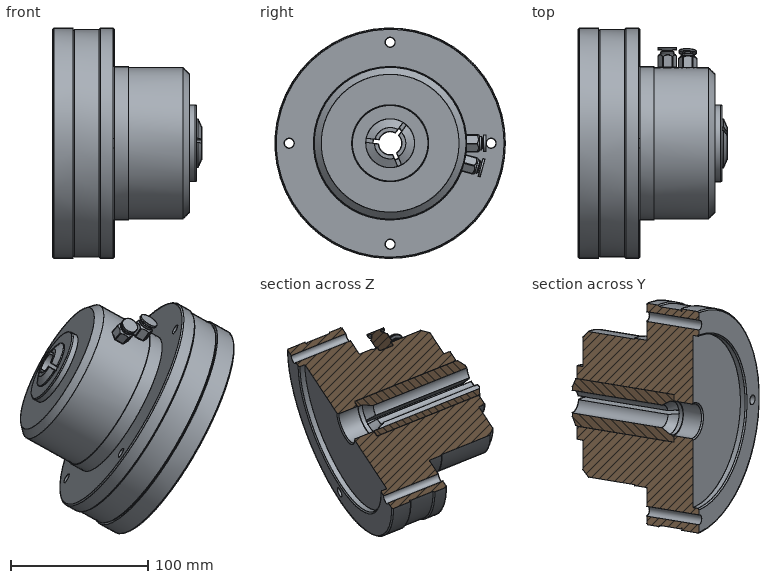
import cadquery as cq


flange_radius = 84.0
band_radius = 83.0
edge_chamfer = 1.0
front_rim_end = 15.0
rear_rim_start = 34.0
flange_end = 45.0

shoulder_radius = 56.0
shoulder_end = 55.3
hub_radius = 55.3
hub_end = 100.0
hub_chamfer = 5.0
boss_radius = 28.0
boss_end = 105.0
boss_chamfer_length = 1.0
boss_chamfer_depth = 0.5

recess_radius = 65.0
recess_depth = 5.0
bolt_hole_radius = 3.5
bolt_circle_radius = 73.5
bolt_hole_count = 4
entry_radius = 13.0

collet_radius = 17.8
collet_start = 21.7
collet_mouth_radius = 12.5
mouth_end = 25.0
collet_grip_radius = 8.4
grip_start = 32.0
nose_start = 106.0
nose_end = 108.9
nose_tip_radius = 11.5
slot_width = 3.0
slot_count = 3
slot_turn = 7.0

fitting_base_radius = 5.4
fitting_base_bottom = 52.0
hex_bottom = 55.6
hex_shoulder = 63.5
hex_top = 65.2
hex_corner_radius = 7.0
hex_trim_radius = 6.9
hex_top_radius = 5.4
collar_radius = 4.9
collar_top = 66.5
neck_radius = 3.9
neck_bottom = 67.2
ring_bottom = 68.2
ring_top = 69.7
ring_long_radius = 6.9
ring_short_radius = 6.0

fitting_places = [(65.0, 0.0, 3.0), (80.0, 15.0, 60.0)]


def revolve_about_x(points):
    """Solid of revolution from (x, radius) points."""
    return cq.Workplane("XY").polyline(points).close().revolve(360, (0, 0, 0), (1, 0, 0))


def cylinder_along_x(radius, start, end):
    return cq.Workplane("YZ", origin=(start, 0, 0)).circle(radius).extrude(end - start)


def flared_mouth(start, radius):
    """Chamfered round opening at x = start that widens towards -X."""
    return revolve_about_x([
        (start, 0),
        (start, radius + edge_chamfer),
        (start + edge_chamfer, radius),
        (start + edge_chamfer, 0),
    ])


def point_outwards(shape, position, lean):
    """Move a shape built upwards along Z so that it points radially out of the hub."""
    return shape.rotate((0, 0, 0), (1, 0, 0), -90 - lean).translate((position, 0, 0))


def make_housing():
    c = edge_chamfer
    body = revolve_about_x([
        (0, 0),
        (0, flange_radius - c),
        (c, flange_radius),
        (front_rim_end, flange_radius),
        (front_rim_end, band_radius - c),
        (front_rim_end + c, band_radius),
        (rear_rim_start, band_radius),
        (rear_rim_start + c, flange_radius),
        (flange_end - c, flange_radius),
        (flange_end, flange_radius - c),
        (flange_end, shoulder_radius),
        (shoulder_end, shoulder_radius),
        (shoulder_end, hub_radius),
        (hub_end - hub_chamfer, hub_radius),
        (hub_end, hub_radius - hub_chamfer),
        (hub_end, boss_radius),
        (boss_end - boss_chamfer_length, boss_radius),
        (boss_end, boss_radius - boss_chamfer_depth),
        (boss_end, 0),
    ])

    body = body.cut(cylinder_along_x(recess_radius, 0, recess_depth))
    body = body.cut(flared_mouth(0, recess_radius))
    body = body.cut(cylinder_along_x(entry_radius, recess_depth, collet_start))
    body = body.cut(flared_mouth(recess_depth, entry_radius))
    body = body.cut(cylinder_along_x(collet_radius, collet_start, boss_end))

    bolt_holes = (
        cq.Workplane("YZ")
        .polarArray(bolt_circle_radius, 0, 360, bolt_hole_count)
        .circle(bolt_hole_radius)
        .extrude(flange_end)
    )
    body = body.cut(bolt_holes)

    for position, lean, _ in fitting_places:
        seat = (
            cq.Workplane("XY", origin=(0, 0, fitting_base_bottom))
            .circle(fitting_base_radius)
            .extrude(hex_bottom - fitting_base_bottom)
        )
        body = body.cut(point_outwards(seat, position, lean))
    return body


def make_collet():
    body = revolve_about_x([
        (collet_start, collet_mouth_radius),
        (collet_start, collet_radius),
        (nose_start, collet_radius),
        (nose_end, nose_tip_radius),
        (nose_end, collet_grip_radius),
        (grip_start, collet_grip_radius),
        (mouth_end, collet_mouth_radius),
    ])
    slot_length = nose_end - mouth_end
    for index in range(slot_count):
        slot = (
            cq.Workplane("XY")
            .box(slot_length, 2 * collet_radius, slot_width, centered=(False, False, True))
            .translate((mouth_end, 0, 0))
            .rotate((0, 0, 0), (1, 0, 0), 180 - slot_turn - index * 360 / slot_count)
        )
        body = body.cut(slot)
    return body


def make_fitting(position, lean, turn):
    hexagon = (
        cq.Workplane("XY", origin=(0, 0, hex_bottom))
        .polygon(6, 2 * hex_corner_radius)
        .extrude(hex_top - hex_bottom)
    )
    trim = (
        cq.Workplane("XZ")
        .polyline([
            (0, hex_bottom),
            (hex_trim_radius, hex_bottom),
            (hex_trim_radius, hex_shoulder),
            (hex_top_radius, hex_top),
            (0, hex_top),
        ])
        .close()
        .revolve(360, (0, 0, 0), (0, 1, 0))
    )
    core = (
        cq.Workplane("XZ")
        .polyline([
            (0, fitting_base_bottom),
            (fitting_base_radius, fitting_base_bottom),
            (fitting_base_radius, hex_bottom),
            (collar_radius, hex_bottom),
            (collar_radius, collar_top),
            (neck_radius, neck_bottom),
            (neck_radius, ring_bottom),
            (0, ring_bottom),
        ])
        .close()
        .revolve(360, (0, 0, 0), (0, 1, 0))
    )
    release_ring = (
        cq.Workplane("XY", origin=(0, 0, ring_bottom))
        .ellipse(ring_long_radius, ring_short_radius)
        .extrude(ring_top - ring_bottom)
    )
    fitting = hexagon.intersect(trim).union(core).union(release_ring)
    fitting = fitting.rotate((0, 0, 0), (0, 0, 1), turn)
    return point_outwards(fitting, position, lean)


housing = make_housing()
collet = make_collet()
fittings = [make_fitting(position, lean, turn) for position, lean, turn in fitting_places]

result = cq.Compound.makeCompound([
    housing.val(),
    collet.val(),
    *[fitting.val() for fitting in fittings],
])